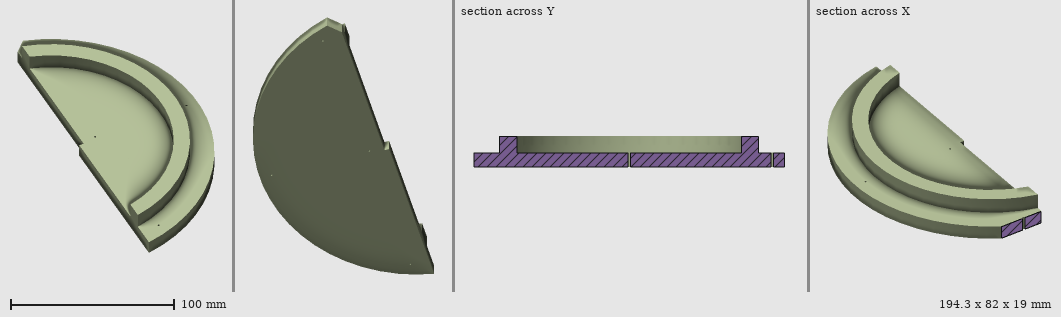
import cadquery as cq
import math

plate_radius = 100.0
plate_thickness = 9.0
front_edge_y = 18.0
step_depth = 3.0
step_x = 2.3
left_corner_x = -95.923

rib_outer_radius = 85.0
rib_width = 10.0
rib_height = 10.0

pin_hole_diameter = 1.25
pin_circle_radius = 92.5
inner_pin_y = 30.0
left_pin_y = 34.0

rear_edge_y = front_edge_y + step_depth
rib_inner_radius = rib_outer_radius - rib_width
overall_height = plate_thickness + rib_height


def circle_x(radius, y):
    """Positive X at which a circle about the origin reaches the given Y."""
    return math.sqrt(radius**2 - y**2)


def plate_outline():
    """Closed outline of the plate: rim arc, corner cut and stepped straight edge."""
    left_corner_y = circle_x(plate_radius, left_corner_x)
    corner_cut_end_x = left_corner_x + (left_corner_y - rear_edge_y)
    return (
        cq.Workplane("XY")
        .moveTo(circle_x(plate_radius, front_edge_y), front_edge_y)
        .threePointArc((0, plate_radius), (left_corner_x, left_corner_y))
        .lineTo(corner_cut_end_x, rear_edge_y)
        .lineTo(step_x, rear_edge_y)
        .lineTo(step_x, front_edge_y)
        .close()
    )


def make_rib():
    """Ring on top of the plate, trimmed flush with the plate's straight edges."""
    ring = (
        cq.Workplane("XY")
        .workplane(offset=plate_thickness)
        .circle(rib_outer_radius)
        .circle(rib_inner_radius)
        .extrude(rib_height)
    )
    return ring.intersect(plate_outline().extrude(overall_height))


def make_pin_holes():
    """Cutters for the three rim holes and the inner hole."""
    centres = [
        (0, pin_circle_radius),
        (circle_x(pin_circle_radius, inner_pin_y), inner_pin_y),
        (-circle_x(pin_circle_radius, left_pin_y), left_pin_y),
        (0, inner_pin_y),
    ]
    return (
        cq.Workplane("XY")
        .pushPoints(centres)
        .circle(pin_hole_diameter / 2)
        .extrude(plate_thickness)
    )


plate = plate_outline().extrude(plate_thickness)
result = plate.union(make_rib()).cut(make_pin_holes())